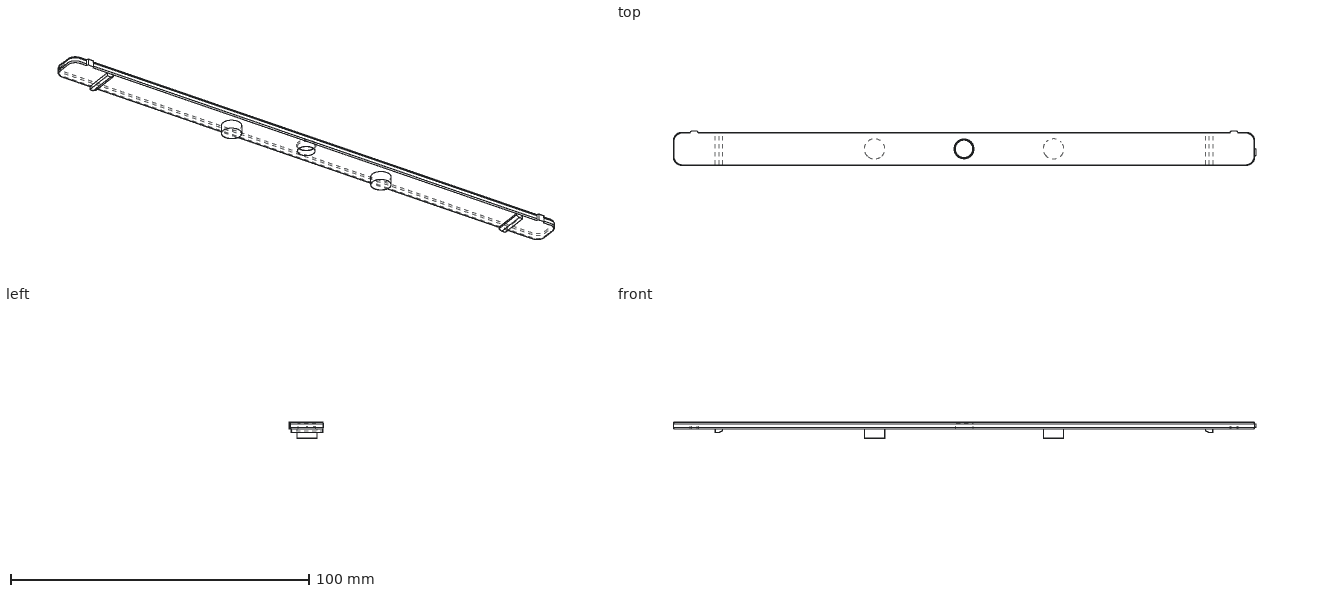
import cadquery as cq

overall_length = 195.3
overall_width = 11.5
overall_height = 5.5

snap_height = 0.49
plate_length = overall_length - snap_height
plate_width = overall_width - snap_height
plate_thickness = 2.3
corner_size = 2.5
corner_radius = 3.0
bevel_height = 0.5
bevel_inset = 0.2

hole_diameter = 5.9
hole_chamfer = 0.4

boss_diameter = 6.8
boss_spacing = 60.0
boss_height = overall_height - plate_thickness

rib_outer_spacing = 166.8
rib_width = 2.5
rib_tip_width = 1.4
rib_height = 1.2
rib_inner_height = 0.5

snap_length = 2.7
snap_root = 0.5
snap_tip_length = 2.0
side_snap_spacing = 180.8
end_snap_y = -1.2


def outline(inset, z):
    """Closed plate outline at height z; its corner arcs meet the straight sides at a slight angle."""
    half_length = plate_length / 2 - inset
    half_width = plate_width / 2 - inset
    side_end = half_length - corner_size
    end_top = half_width - corner_size
    return (
        cq.Workplane("XY", origin=(0, 0, z))
        .moveTo(-side_end, -half_width)
        .lineTo(side_end, -half_width)
        .radiusArc((half_length, -end_top), -corner_radius)
        .lineTo(half_length, end_top)
        .radiusArc((side_end, half_width), -corner_radius)
        .lineTo(-side_end, half_width)
        .radiusArc((-half_length, end_top), -corner_radius)
        .lineTo(-half_length, -end_top)
        .radiusArc((-side_end, -half_width), -corner_radius)
        .close()
        .val()
    )


def make_plate():
    """Plate with steep bevels along its upper and lower edges."""
    sections = [
        outline(bevel_inset, 0),
        outline(0, bevel_height),
        outline(0, plate_thickness - bevel_height),
        outline(bevel_inset, plate_thickness),
    ]
    return cq.Workplane(cq.Solid.makeLoft(sections, True))


def make_boss(x):
    return cq.Workplane("XY").center(x, 0).circle(boss_diameter / 2).extrude(-boss_height)


def make_rib(side):
    """Rib with a flat tip and a slope; side is -1 or +1 for the end of the plate it sits at."""
    outer_x = side * rib_outer_spacing / 2
    tip_x = outer_x - side * rib_tip_width
    inner_x = outer_x - side * rib_width
    rib_length = plate_width - 2 * bevel_inset
    profile = [
        (outer_x, bevel_height),
        (outer_x, -rib_height),
        (tip_x, -rib_height),
        (inner_x, -rib_inner_height),
        (inner_x, bevel_height),
    ]
    return cq.Workplane("XZ").polyline(profile).close().extrude(rib_length / 2, both=True)


def make_snap(bottom, top):
    """Tapered bump pointing to +Y from a side face lying at Y = 0."""
    profile = [
        (-snap_length / 2, -snap_root),
        (-snap_length / 2, 0),
        (-snap_tip_length / 2, snap_height),
        (snap_tip_length / 2, snap_height),
        (snap_length / 2, 0),
        (snap_length / 2, -snap_root),
    ]
    return cq.Workplane("XY", origin=(0, 0, bottom)).polyline(profile).close().extrude(top - bottom)


def make_hole_cutter():
    radius = hole_diameter / 2
    profile = [
        (0, 0),
        (radius, 0),
        (radius, plate_thickness - hole_chamfer),
        (radius + hole_chamfer, plate_thickness),
        (0, plate_thickness),
    ]
    return cq.Workplane("XZ").polyline(profile).close().revolve(360, (0, 0), (0, 1))


result = make_plate()
for side in (-1, 1):
    result = result.union(make_boss(side * boss_spacing / 2))
    result = result.union(make_rib(side))
    side_snap = make_snap(0, plate_thickness).translate((side * side_snap_spacing / 2, plate_width / 2, 0))
    result = result.union(side_snap)

end_snap = make_snap(bevel_height, plate_thickness - bevel_height).rotate((0, 0, 0), (0, 0, 1), -90)
result = result.union(end_snap.translate((plate_length / 2, end_snap_y, 0)))
result = result.cut(make_hole_cutter())